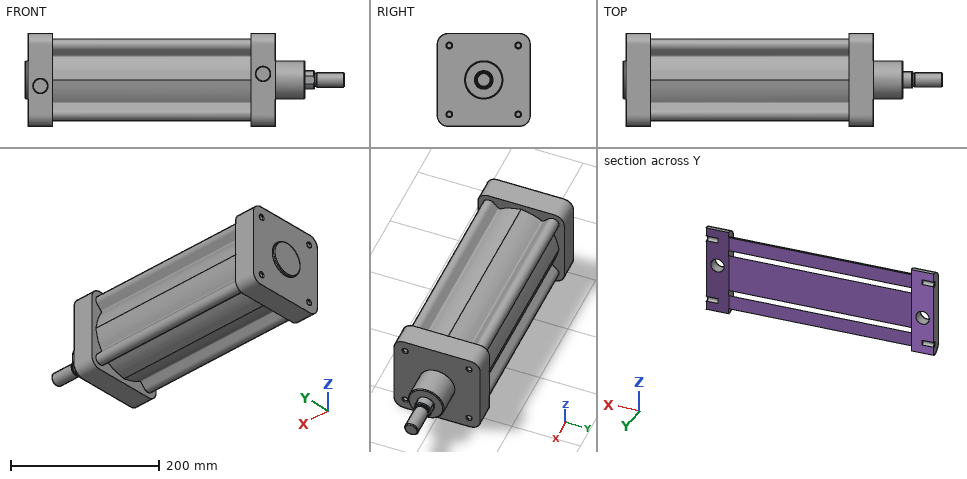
import cadquery as cq
import math


spigot_length = 4.0
cap_length = 33.0
barrel_length = 267.5
bushing_length = 40.0
collar_length = 13.0
neck_length = 1.7
overall_length = 431.0

rear_cap_x = spigot_length
barrel_x = rear_cap_x + cap_length
front_cap_x = barrel_x + barrel_length
bushing_x = front_cap_x + cap_length
collar_x = bushing_x + bushing_length
neck_x = collar_x + collar_length
thread_x = neck_x + neck_length
thread_length = overall_length - thread_x

cap_side = 126.0
cap_corner_radius = 15.0
boss_radius = 26.0
boss_chamfer = 1.5
bolt_offset = 46.5
bolt_hole_radius = 3.25
bolt_hole_depth = 17.2
bolt_hole_chamfer = 1.5
port_radius = 9.5
port_chamfer = 1.0
port_depth = 26.0
port_offset = 8.0

body_radius = 54.0
facet_angle = math.radians(13)
lug_radius = 8.5
web_fillet_radius = 2.5

rod_radius = 12.5
rod_chamfer = 1.5
wrench_half_width = 11.0
neck_radius = 9.0
thread_radius = 10.0
thread_chamfer = 1.5


def cylinder_x(x, radius, length):
    """Cylinder on the main axis, from x toward +X."""
    return cq.Workplane("YZ", origin=(x, 0, 0)).circle(radius).extrude(length)


def countersunk_hole(origin, direction, radius, depth, chamfer):
    """Blind round cutter from a face point into the part, with a conical mouth."""
    profile = (
        cq.Workplane("XZ")
        .polyline([(0, 0), (radius + chamfer, 0), (radius, -chamfer), (radius, -depth), (0, -depth)])
        .close()
        .revolve(360, (0, 0), (0, 1))
    )
    outward = cq.Vector(*direction) * -1
    placement = cq.Location(cq.Plane(origin=origin, normal=outward))
    return cq.Workplane(profile.val().moved(placement))


def cap_block(x, outer_face_x, inward, port_z):
    """Rounded square block with four bolt holes in its outer face and a port on -Y."""
    block = (
        cq.Workplane("YZ", origin=(x, 0, 0))
        .rect(cap_side, cap_side)
        .extrude(cap_length)
        .edges("|X")
        .fillet(cap_corner_radius)
    )
    inward_x = (inward, 0, 0)
    for y in (-bolt_offset, bolt_offset):
        for z in (-bolt_offset, bolt_offset):
            bolt_centre = (outer_face_x, y, z)
            bolt_hole = countersunk_hole(
                bolt_centre, inward_x, bolt_hole_radius, bolt_hole_depth, bolt_hole_chamfer
            )
            block = block.cut(bolt_hole)
    port_centre = (x + cap_length / 2, -cap_side / 2, port_z)
    port = countersunk_hole(port_centre, (0, 1, 0), port_radius, port_depth, port_chamfer)
    return block.cut(port)


def make_rear_cap():
    """Rear cap with its centring spigot."""
    spigot = cylinder_x(0, boss_radius, spigot_length).faces("<X").chamfer(boss_chamfer)
    return cap_block(rear_cap_x, rear_cap_x, 1, -port_offset).union(spigot)


def make_front_cap():
    """Front cap with its bushing, bored through for the piston rod."""
    bushing = cylinder_x(bushing_x, boss_radius, bushing_length).faces(">X").chamfer(boss_chamfer)
    rod_bore = cylinder_x(front_cap_x, rod_radius, cap_length + bushing_length)
    return cap_block(front_cap_x, bushing_x, -1, port_offset).union(bushing).cut(rod_bore)


def polar(radius, angle):
    """Point of the YZ section at a radius and an angle from +Y."""
    return (radius * math.cos(angle), radius * math.sin(angle))


def by_lug(diagonal, reach, side):
    """Point of the YZ section at a reach along a diagonal; positive side is clockwise of it."""
    along_y = math.cos(diagonal)
    along_z = math.sin(diagonal)
    return (reach * along_y + side * along_z, reach * along_z - side * along_y)


def make_barrel():
    """Round body with a shallow ridge on each side and a filleted lug on each diagonal."""
    lug_distance = bolt_offset * math.sqrt(2)
    ridge_radius = body_radius / math.cos(facet_angle)

    fillet_centre_side = lug_radius + web_fillet_radius
    fillet_centre_reach = math.sqrt((body_radius + web_fillet_radius) ** 2 - fillet_centre_side**2)
    fillet_centre_angle = math.atan2(fillet_centre_side, fillet_centre_reach)
    fillet_start_angle = math.pi / 4 - fillet_centre_angle
    fillet_mid_direction = (math.pi + fillet_centre_angle + 3 * math.pi / 2) / 2
    fillet_mid_reach = fillet_centre_reach + web_fillet_radius * math.cos(fillet_mid_direction)
    fillet_mid_side = fillet_centre_side + web_fillet_radius * math.sin(fillet_mid_direction)

    body_mid_angle = (facet_angle + fillet_start_angle) / 2

    outline = cq.Workplane("YZ", origin=(barrel_x, 0, 0)).moveTo(ridge_radius, 0)
    for quarter in range(4):
        start = quarter * math.pi / 2
        diagonal = start + math.pi / 4
        end = start + math.pi / 2
        outline = (
            outline.lineTo(*polar(body_radius, start + facet_angle))
            .threePointArc(
                polar(body_radius, start + body_mid_angle),
                polar(body_radius, start + fillet_start_angle),
            )
            .threePointArc(
                by_lug(diagonal, fillet_mid_reach, fillet_mid_side),
                by_lug(diagonal, fillet_centre_reach, lug_radius),
            )
            .lineTo(*by_lug(diagonal, lug_distance, lug_radius))
            .threePointArc(
                by_lug(diagonal, lug_distance + lug_radius, 0),
                by_lug(diagonal, lug_distance, -lug_radius),
            )
            .lineTo(*by_lug(diagonal, fillet_centre_reach, -lug_radius))
            .threePointArc(
                by_lug(diagonal, fillet_mid_reach, -fillet_mid_side),
                polar(body_radius, end - fillet_start_angle),
            )
            .threePointArc(
                polar(body_radius, end - body_mid_angle),
                polar(body_radius, end - facet_angle),
            )
            .lineTo(*polar(ridge_radius, end))
        )
    return outline.close().extrude(barrel_length)


def make_piston_rod():
    """Rod from the barrel's front end: round shank, collar with wrench flats, neck and thread."""
    rod = cylinder_x(front_cap_x, rod_radius, neck_x - front_cap_x).faces(">X").chamfer(rod_chamfer)
    for side in (-1, 1):
        cut_centre = (collar_x + collar_length / 2, side * (wrench_half_width + rod_radius / 2), 0)
        flat_cut = cq.Workplane("XY", origin=cut_centre).box(collar_length, rod_radius, 2 * rod_radius)
        rod = rod.cut(flat_cut)
    neck = cylinder_x(neck_x, neck_radius, neck_length)
    thread = cylinder_x(thread_x, thread_radius, thread_length).faces("<X or >X").chamfer(thread_chamfer)
    return rod.union(neck).union(thread)


rear_cap = make_rear_cap()
barrel = make_barrel()
front_cap = make_front_cap()
piston_rod = make_piston_rod()

result = cq.Compound.makeCompound([rear_cap.val(), barrel.val(), front_cap.val(), piston_rod.val()])